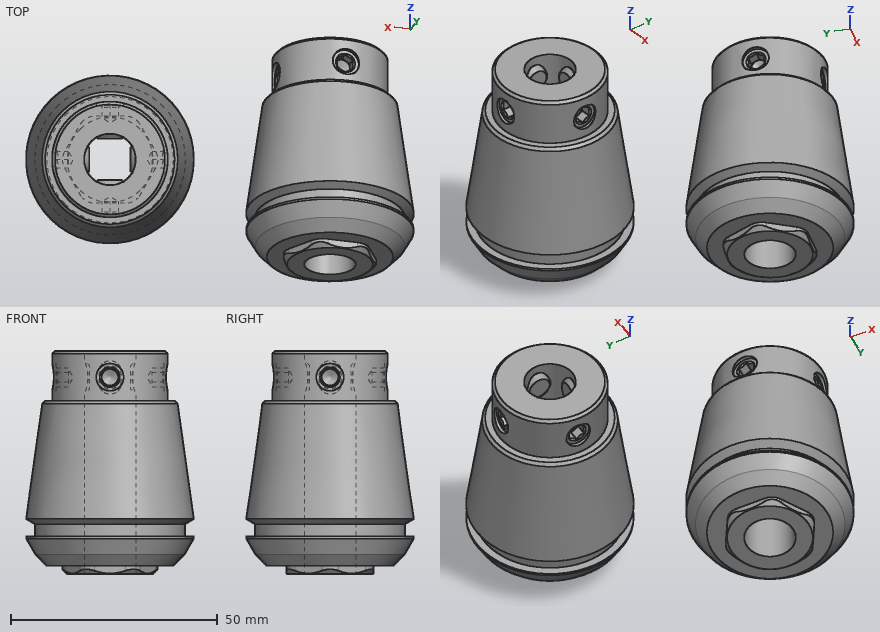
import cadquery as cq
import math

collar_radius = 28.0 / 2
collar_chamfer = 0.7
overall_height = 54.0
collar_base_z = 41.95

taper_top_radius = 16.4
shoulder_chamfer = 0.75
body_radius = 40.65 / 2
body_base_z = 13.35

groove_radius = 18.2
groove_base_z = 9.1

flank_angle = math.radians(30)

flange_radius = 40.55 / 2
flange_rim_height = 0.55
flange_break_radius = 36.2 / 2
flange_base_radius = 15.3
flange_base_z = 1.95

foot_across_flats = 21.05
foot_corner_radius = 4.05
foot_base_radius = 10.35

bore_diameter = 12.5

screw_count = 4
screw_z = 47.65
screw_hole_diameter = 6.65
screw_diameter = 8.0
screw_head_distance = 13.05
screw_tip_distance = 4.95
screw_tip_diameter = 5.6
socket_across_flats = 4.0
socket_mouth_diameter = 4.85
socket_depth = 2.95
socket_turn = 30
socket_point_half_angle = math.radians(60)


def across_corners(across_flats):
    """Corner-to-corner width of a regular hexagon."""
    return across_flats / math.cos(math.pi / 6)


def make_body():
    """Revolved body: collar, taper, groove and flange in one profile."""
    groove_top_z = body_base_z - (body_radius - groove_radius) * math.tan(flank_angle)
    rim_base_z = groove_base_z - flange_rim_height
    flange_break_z = rim_base_z - (flange_radius - flange_break_radius) / math.tan(flank_angle)
    profile = [
        (0, flange_base_z),
        (flange_base_radius, flange_base_z),
        (flange_break_radius, flange_break_z),
        (flange_radius, rim_base_z),
        (flange_radius, groove_base_z),
        (groove_radius, groove_base_z),
        (groove_radius, groove_top_z),
        (body_radius, body_base_z),
        (taper_top_radius, collar_base_z - shoulder_chamfer),
        (taper_top_radius - shoulder_chamfer, collar_base_z),
        (collar_radius, collar_base_z),
        (collar_radius, overall_height - collar_chamfer),
        (collar_radius - collar_chamfer, overall_height),
        (0, overall_height),
    ]
    return cq.Workplane("XZ").polyline(profile).close().revolve(360, (0, 0), (0, 1))


def make_foot():
    """Hexagonal foot with rounded corners and a 45 degree conical edge at the bottom."""
    hexagon = (
        cq.Workplane("XY")
        .polygon(6, across_corners(foot_across_flats))
        .extrude(flange_base_z)
        .edges("|Z")
        .fillet(foot_corner_radius)
    )
    cone_top_radius = foot_base_radius + flange_base_z
    cone = (
        cq.Workplane("XZ")
        .polyline([(0, 0), (foot_base_radius, 0), (cone_top_radius, flange_base_z), (0, flange_base_z)])
        .close()
        .revolve(360, (0, 0), (0, 1))
    )
    return hexagon.intersect(cone)


def make_screw():
    """Set screw along +X, flat tip towards the axis and hexagonal socket facing outwards.

    The screw is wider than its hole, so its outer part is embedded in the collar wall.
    """
    screw_length = screw_head_distance - screw_tip_distance
    blank = (
        cq.Workplane("YZ", origin=(screw_tip_distance, 0, screw_z))
        .circle(screw_diameter / 2)
        .extrude(screw_length)
        .faces("<X")
        .chamfer((screw_diameter - screw_tip_diameter) / 2)
    )
    socket = (
        cq.Workplane("YZ", origin=(screw_head_distance, 0, screw_z))
        .polygon(6, across_corners(socket_across_flats))
        .extrude(-socket_depth)
        .rotate((0, 0, screw_z), (1, 0, screw_z), socket_turn)
    )
    mouth_radius = socket_mouth_diameter / 2
    mouth = cq.Solid.makeCone(
        mouth_radius, 0, mouth_radius, cq.Vector(screw_head_distance, 0, screw_z), cq.Vector(-1, 0, 0)
    )
    point_radius = socket_across_flats / 2
    point = cq.Solid.makeCone(
        point_radius,
        0,
        point_radius / math.tan(socket_point_half_angle),
        cq.Vector(screw_head_distance - socket_depth, 0, screw_z),
        cq.Vector(-1, 0, 0),
    )
    return blank.cut(socket).cut(cq.Workplane(mouth)).cut(cq.Workplane(point))


def make_screw_hole():
    """Radial hole along +X, from the axis out through the collar wall."""
    hole = cq.Workplane("YZ", origin=(0, 0, screw_z)).circle(screw_hole_diameter / 2)
    return hole.extrude(collar_radius)


result = make_body().union(make_foot())
bore = cq.Workplane("XY").circle(bore_diameter / 2).extrude(overall_height)
result = result.cut(bore)

for index in range(screw_count):
    angle = index * 360 / screw_count
    hole = make_screw_hole().rotate((0, 0, 0), (0, 0, 1), angle)
    screw = make_screw().rotate((0, 0, 0), (0, 0, 1), angle)
    result = result.cut(hole).union(screw)